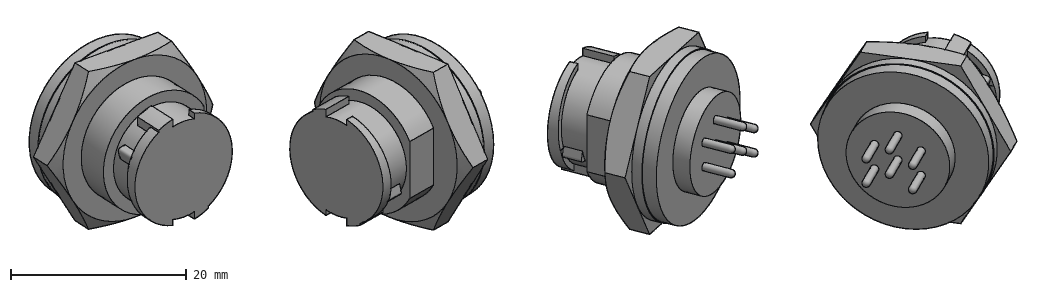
import cadquery as cq
import math


pin_length = 4.0
insert_length = 2.21
flange_length = 1.8
washer_length = 1.3
nut_length = 3.5
body_length = 4.19
nose_length = 5.0

insert_radius = 6.15
flange_radius = 10.15
washer_radius = 10.28
body_radius = 7.7
nose_radius = 6.25
body_flat_y = 6.75

nut_sides = 6
nut_corner_diameter = 23.8
nut_chamfer_angle = 30.0

pin_radius = 0.5
pin_ring_radius = 3.19
pin_ring_places = 6
empty_place_angle = -90.0
pin_embed = 0.24

bayonet_count = 2
key_radius = 7.2
key_inner_y = 1.55
key_outer_y = 3.57
key_length = 4.05
rim_radius = 7.0
rim_width = 1.6
ramp_top_z = 1.85
ramp_start_cut = 0.05
ramp_end_width = 1.02

rib_outer_y = 5.47
rib_top_z = 4.42
rib_depth = 1.9
rib_fillet = 0.35
rib_turn = 14.0

insert_rear_x = -insert_length
washer_x = flange_length
nut_x = washer_x + washer_length
body_x = nut_x + nut_length
nose_x = body_x + body_length
front_x = nose_x + nose_length
key_x = front_x - key_length
rim_x = front_x - rim_width


def disc(x, length, radius):
    """Cylinder on the connector axis, starting at x."""
    return cq.Workplane("YZ", origin=(x, 0, 0)).circle(radius).extrude(length)


def box(x_range, y_range, z_range):
    """Axis-aligned block between the given limits."""
    sizes = [high - low for low, high in (x_range, y_range, z_range)]
    return (
        cq.Workplane("XY")
        .box(*sizes, centered=False)
        .translate((x_range[0], y_range[0], z_range[0]))
    )


def make_nut():
    corner_radius = nut_corner_diameter / 2
    flat_radius = corner_radius * math.cos(math.pi / nut_sides)
    hexagon = (
        cq.Workplane("YZ", origin=(nut_x, 0, 0))
        .polygon(nut_sides, nut_corner_diameter)
        .extrude(nut_length)
    )
    chamfer_depth = (corner_radius - flat_radius) * math.tan(math.radians(nut_chamfer_angle))
    envelope = (
        cq.Workplane("XY")
        .moveTo(nut_x, 0)
        .lineTo(nut_x, corner_radius)
        .lineTo(body_x - chamfer_depth, corner_radius)
        .lineTo(body_x, flat_radius)
        .lineTo(body_x, 0)
        .close()
        .revolve(360, (0, 0, 0), (1, 0, 0))
    )
    return hexagon.intersect(envelope)


def make_body():
    body = disc(body_x, body_length, body_radius)
    beyond_flat = box((body_x, nose_x), (body_flat_y, body_radius), (-body_radius, body_radius))
    return body.cut(beyond_flat)


def make_pin(y, z):
    """Round pin with a hemispherical tip, rooted slightly inside the insert."""
    tip_x = insert_rear_x - pin_length
    return (
        cq.Workplane("XY")
        .moveTo(tip_x, 0)
        .radiusArc((tip_x + pin_radius, pin_radius), pin_radius)
        .lineTo(insert_rear_x + pin_embed, pin_radius)
        .lineTo(insert_rear_x + pin_embed, 0)
        .close()
        .revolve(360, (0, 0, 0), (1, 0, 0))
        .translate((0, y, z))
    )


def make_key():
    """Key on the upper -Y side of the nose, with parallel sides and a round top."""
    sector = box((key_x, front_x), (-key_outer_y, -key_inner_y), (0, key_radius))
    return disc(key_x, key_length, key_radius).intersect(sector)


def make_rim():
    """Rim on the -Y side, from the key down to the bottom, its rear face ramped below the rib."""
    rim = disc(rim_x, rim_width, rim_radius)
    half = box((rim_x, front_x), (-rim_radius, -key_inner_y), (-rim_radius, rim_radius))
    ramp = (
        cq.Workplane("XZ")
        .moveTo(rim_x, ramp_top_z)
        .lineTo(rim_x + ramp_start_cut, ramp_top_z)
        .lineTo(front_x - ramp_end_width, -rim_radius)
        .lineTo(rim_x, -rim_radius)
        .close()
        .extrude(rim_radius)
    )
    return rim.intersect(half).cut(ramp)


def make_rib():
    """Small rib on the -Y side, rounded along its upper edge and ending at the rim."""
    rib = (
        box((key_x, rim_x), (-rib_outer_y, rib_depth - rib_outer_y), (rib_top_z - rib_depth, rib_top_z))
        .edges("|X and <Y and >Z")
        .fillet(rib_fillet)
    )
    return rib.rotate((0, 0, 0), (1, 0, 0), rib_turn)


result = (
    disc(insert_rear_x, insert_length, insert_radius)
    .union(disc(0, flange_length, flange_radius))
    .union(disc(washer_x, washer_length, washer_radius))
    .union(make_nut())
    .union(make_body())
    .union(disc(nose_x, nose_length, nose_radius))
)

result = result.union(make_pin(0, 0))
for place in range(1, pin_ring_places):
    angle = math.radians(empty_place_angle + place * 360 / pin_ring_places)
    result = result.union(make_pin(pin_ring_radius * math.cos(angle), pin_ring_radius * math.sin(angle)))

bayonet = make_key().union(make_rim()).union(make_rib())
for index in range(bayonet_count):
    turn = index * 360 / bayonet_count
    result = result.union(bayonet.rotate((0, 0, 0), (1, 0, 0), turn))